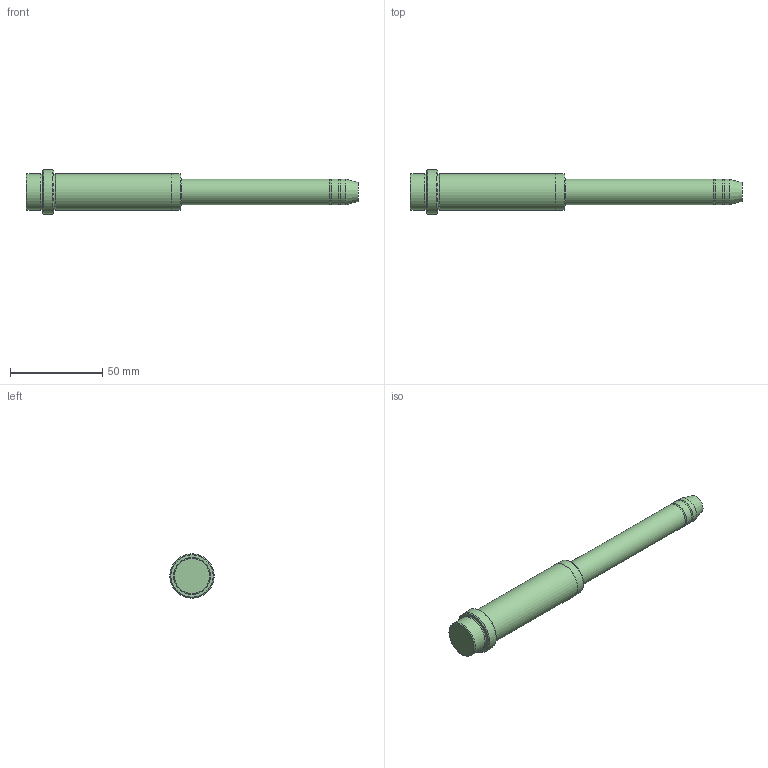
import cadquery as cq
import math

total_length = 180.0

body_diameter = 20.0
collar_diameter = 24.0
shaft_diameter = 14.0
lead_diameter = 19.9

collar_start = 9.0
collar_end = 15.0
lead_start = 79.0
body_end = 84.0
nose_start = 173.0

collar_chamfer = 0.5
body_rim_radius = 0.5
root_radius = 0.5
nose_angle = 15.0
shaft_groove_starts = (164.5, 169.5)
groove_width = 1.0
groove_depth = groove_width / 2


def cylinder(diameter, start, end):
    """Solid cylinder along X between two places."""
    return cq.Workplane("YZ", origin=(start, 0, 0)).circle(diameter / 2).extrude(end - start)


def turn(profile):
    """Revolve a closed XY profile about the X axis."""
    return profile.close().revolve(360, (0, 0, 0), (1, 0, 0))


def round_groove_ring(diameter, start):
    """Ring that cuts a round-bottomed groove into a cylinder of the given diameter."""
    surface_radius = diameter / 2
    rim_radius = surface_radius + groove_depth
    middle = start + groove_width / 2
    end = start + groove_width
    profile = (
        cq.Workplane("XY")
        .moveTo(start, surface_radius)
        .threePointArc((middle, surface_radius - groove_depth), (end, surface_radius))
        .lineTo(end, rim_radius)
        .lineTo(start, rim_radius)
    )
    return turn(profile)


def make_body():
    """Body with rounded end rims, a slightly reduced lead and a round groove on both sides of the collar."""
    straight = cylinder(body_diameter, 0, lead_start).faces("<X").edges().fillet(body_rim_radius)
    lead = cylinder(lead_diameter, lead_start, body_end).faces(">X").edges().fillet(body_rim_radius)
    body = straight.union(lead)
    for relief_start in (collar_start - groove_width, collar_end):
        body = body.cut(round_groove_ring(body_diameter, relief_start))
    return body


def make_collar():
    """Collar with both rims chamfered."""
    collar = cylinder(collar_diameter, collar_start, collar_end)
    return collar.faces("<X or >X").edges().chamfer(collar_chamfer)


def make_shaft():
    """Slim shaft with two round grooves, ending in a conical nose."""
    shaft = cylinder(shaft_diameter, body_end, nose_start)
    for groove_start in shaft_groove_starts:
        shaft = shaft.cut(round_groove_ring(shaft_diameter, groove_start))

    shaft_radius = shaft_diameter / 2
    nose_length = total_length - nose_start
    tip_radius = shaft_radius - nose_length * math.tan(math.radians(nose_angle))
    nose = cq.Solid.makeCone(
        shaft_radius, tip_radius, nose_length, cq.Vector(nose_start, 0, 0), cq.Vector(1, 0, 0)
    )
    return shaft.union(cq.Workplane(obj=nose))


def make_root_fillet():
    """Concave fillet in the corner between the body's shoulder and the shaft."""
    shaft_radius = shaft_diameter / 2
    fillet_end = body_end + root_radius
    arc_shift = root_radius * (1 - math.sqrt(0.5))
    profile = (
        cq.Workplane("XY")
        .moveTo(body_end, 0)
        .lineTo(body_end, shaft_radius + root_radius)
        .threePointArc((body_end + arc_shift, shaft_radius + arc_shift), (fillet_end, shaft_radius))
        .lineTo(fillet_end, 0)
    )
    return turn(profile)


result = make_body().union(make_collar()).union(make_shaft()).union(make_root_fillet())